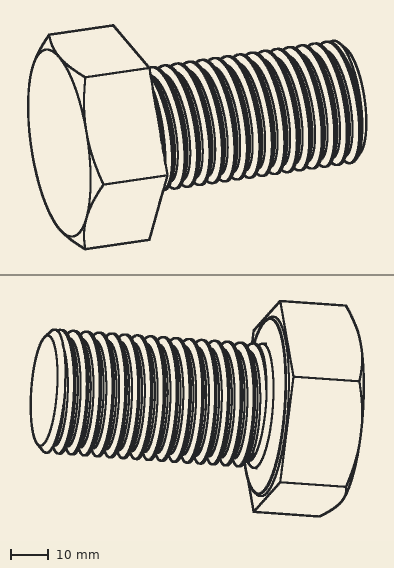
import cadquery as cq
import math


ACROSS_FLATS = 50.0
HEAD_SIDES = 6
ACROSS_CORNERS = ACROSS_FLATS / math.cos(math.pi / HEAD_SIDES)
HEAD_HEIGHT = 21.0
HEAD_CHAMFER_ANGLE = 30.0
END_FACE_DIAMETER = ACROSS_FLATS
WASHER_FACE_THICKNESS = 0.8
WASHER_FACE_DIAMETER = 46.5
WASHER_FLARE = 0.6

SHANK_LENGTH = 60.0
NOMINAL_DIAMETER = 33.0
NECK_FILLET = 1.0
NECK_CYLINDER_LENGTH = 0.55

PITCH = 3.5
CREST_DIAMETER = 32.76
CORE_DIAMETER = 28.75
CREST_WIDTH = PITCH / 8
FLANK_ANGLE = 30.0
TIP_CHAMFER = PITCH / 2
NECK_LENGTH = 3.4
NECK_CONE_LENGTH = NECK_LENGTH - NECK_FILLET - NECK_CYLINDER_LENGTH
NECK_CONE_SMALL_DIAMETER = NOMINAL_DIAMETER - 2 * NECK_CONE_LENGTH
THREAD_END = SHANK_LENGTH - TIP_CHAMFER
CREST_TO_TIP = 2.47
ROOT_OVERLAP = 0.2


def make_head():
    """Hexagonal prism with a conical chamfer on the end face and a raised washer face."""
    hex_height = HEAD_HEIGHT - WASHER_FACE_THICKNESS
    hexagon = (
        cq.Workplane("XY")
        .workplane(offset=-HEAD_HEIGHT)
        .polygon(HEAD_SIDES, ACROSS_CORNERS)
        .extrude(hex_height)
    )
    end_radius = END_FACE_DIAMETER / 2
    cone_radius = end_radius + hex_height / math.tan(math.radians(HEAD_CHAMFER_ANGLE))
    chamfer_cone = cq.Workplane(
        cq.Solid.makeCone(end_radius, cone_radius, hex_height, pnt=cq.Vector(0, 0, -HEAD_HEIGHT))
    )
    washer_radius = WASHER_FACE_DIAMETER / 2
    flare_radius = washer_radius + WASHER_FLARE
    washer_face = (
        cq.Workplane("XZ")
        .moveTo(0, -WASHER_FACE_THICKNESS)
        .lineTo(flare_radius, -WASHER_FACE_THICKNESS)
        .lineTo(washer_radius, WASHER_FLARE - WASHER_FACE_THICKNESS)
        .lineTo(washer_radius, 0)
        .lineTo(0, 0)
        .close()
        .revolve(360, (0, 0, 0), (0, 1, 0))
    )
    return hexagon.intersect(chamfer_cone).union(washer_face)


def make_shank():
    """Turned shank: filleted neck, thread core and chamfered tip disc."""
    neck_radius = NOMINAL_DIAMETER / 2
    core_radius = CORE_DIAMETER / 2
    crest_radius = CREST_DIAMETER / 2
    fillet_sag = NECK_FILLET * (1 - math.sqrt(0.5))
    profile = (
        cq.Workplane("XZ")
        .moveTo(0, -WASHER_FACE_THICKNESS)
        .lineTo(neck_radius + NECK_FILLET, -WASHER_FACE_THICKNESS)
        .lineTo(neck_radius + NECK_FILLET, 0)
        .threePointArc((neck_radius + fillet_sag, fillet_sag), (neck_radius, NECK_FILLET))
        .lineTo(neck_radius, NECK_FILLET + NECK_CYLINDER_LENGTH)
        .lineTo(NECK_CONE_SMALL_DIAMETER / 2, NECK_LENGTH)
        .lineTo(core_radius, NECK_LENGTH)
        .lineTo(core_radius, THREAD_END)
        .lineTo(crest_radius, THREAD_END)
        .lineTo(crest_radius - TIP_CHAMFER, SHANK_LENGTH)
        .lineTo(0, SHANK_LENGTH)
        .close()
    )
    return profile.revolve(360, (0, 0, 0), (0, 1, 0))


def make_thread():
    """Right-hand helical ridge, cut square at both ends of the threaded length."""
    crest_radius = CREST_DIAMETER / 2
    base_radius = CORE_DIAMETER / 2 - ROOT_OVERLAP
    half_crest = CREST_WIDTH / 2
    half_base = half_crest + (crest_radius - base_radius) * math.tan(math.radians(FLANK_ANGLE))

    turns = math.ceil((THREAD_END - NECK_LENGTH) / PITCH) + 2
    first_crest = SHANK_LENGTH - CREST_TO_TIP + PITCH - turns * PITCH
    helix = cq.Wire.makeHelix(PITCH, turns * PITCH, base_radius, center=cq.Vector(0, 0, first_crest))
    ridge = (
        cq.Workplane("XZ")
        .polyline(
            [
                (base_radius, first_crest - half_base),
                (crest_radius, first_crest - half_crest),
                (crest_radius, first_crest + half_crest),
                (base_radius, first_crest + half_base),
            ]
        )
        .close()
        .sweep(cq.Workplane(helix), isFrenet=True)
    )
    threaded_length = (
        cq.Workplane("XY")
        .workplane(offset=NECK_LENGTH)
        .circle(NOMINAL_DIAMETER)
        .extrude(THREAD_END - NECK_LENGTH)
    )
    return ridge.intersect(threaded_length)


screw = make_head().union(make_shank()).union(make_thread())
result = screw.rotate((0, 0, 0), (1, 0, 0), -90).solids()